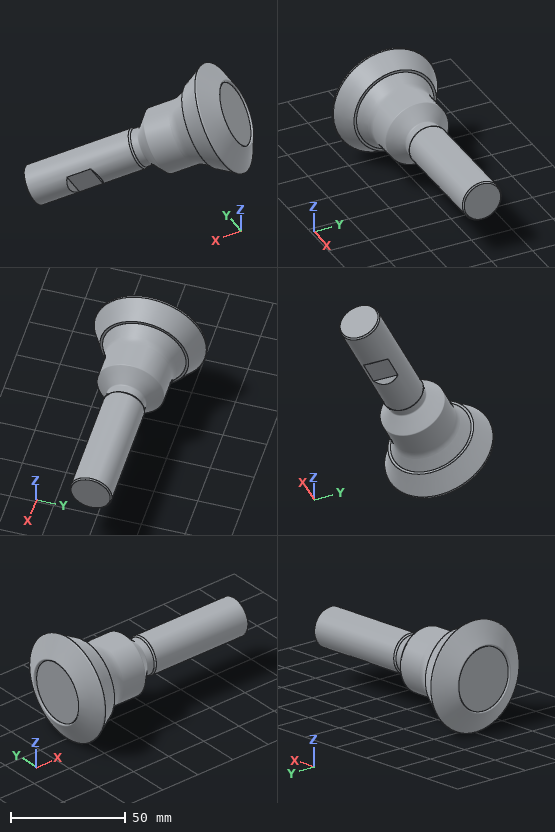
import cadquery as cq
import math


head_length = 16.4
head_diameter = 51.8
rim_front_x = 5.8
rim_back_x = 6.8
rim_mid_x = (rim_front_x + rim_back_x) / 2
rim_edge_radius = head_diameter / 2 - 0.3
lip_outer_radius = 15.9
head_back_radius = 20.2
recess_radius = 14.8
recess_depth = 1.0
front_cone_angle = math.radians(60)

total_length = 101.7
collar_radius = 15.5
flare_angle = math.radians(26)
flare_end_x = 22.1
collar_start_x = 25.5
collar_end_x = 37.8
collar_edge_radius = 0.7
back_cone_angle = math.radians(45)
neck_radius = 9.0
neck_start_x = 44.9
neck_fillet_radius = 1.0
neck_end_x = 48.2
shank_radius = 9.6
shank_chamfer = 0.6
neck_step_length = 0.8

flat_depth = 1.9
flat_start_x = 70.0
flat_length = 11.8


def make_head():
    """Double cone with a rounded rim and a round front recess with a rounded lip."""
    lip_radius = (lip_outer_radius - recess_radius) / (1 + math.cos(front_cone_angle))
    lip_outer_x = lip_radius * (1 - math.sin(front_cone_angle))
    return (
        cq.Workplane("XY")
        .moveTo(recess_depth, 0)
        .lineTo(recess_depth, recess_radius)
        .lineTo(lip_radius, recess_radius)
        .threePointArc((0, recess_radius + lip_radius), (lip_outer_x, lip_outer_radius))
        .lineTo(rim_front_x, rim_edge_radius)
        .threePointArc((rim_mid_x, head_diameter / 2), (rim_back_x, rim_edge_radius))
        .lineTo(head_length, head_back_radius)
        .lineTo(head_length, 0)
        .close()
        .revolve(360, (0, 0, 0), (1, 0, 0))
    )


def make_holder_blank():
    """Turned holder, from the seat behind the head to the chamfered shank end."""
    arc_radius = (collar_start_x - flare_end_x) / math.sin(flare_angle)
    flare_end_radius = collar_radius + arc_radius * (1 - math.cos(flare_angle))
    seat_radius = flare_end_radius + (flare_end_x - head_length) * math.tan(flare_angle)
    arc_mid = (
        collar_start_x - arc_radius * math.sin(flare_angle / 2),
        collar_radius + arc_radius * (1 - math.cos(flare_angle / 2)),
    )
    edge_end = (
        collar_end_x + collar_edge_radius * math.sin(back_cone_angle),
        collar_radius - collar_edge_radius * (1 - math.cos(back_cone_angle)),
    )
    neck_fillet_start = (
        neck_start_x - neck_fillet_radius * math.sin(back_cone_angle),
        neck_radius + neck_fillet_radius * (1 - math.cos(back_cone_angle)),
    )
    return (
        cq.Workplane("XY")
        .moveTo(head_length, 0)
        .lineTo(head_length, seat_radius)
        .lineTo(flare_end_x, flare_end_radius)
        .threePointArc(arc_mid, (collar_start_x, collar_radius))
        .lineTo(collar_end_x, collar_radius)
        .tangentArcPoint(edge_end, relative=False)
        .lineTo(*neck_fillet_start)
        .tangentArcPoint((neck_start_x, neck_radius), relative=False)
        .lineTo(neck_end_x, neck_radius)
        .lineTo(neck_end_x + neck_step_length, shank_radius)
        .lineTo(total_length - shank_chamfer, shank_radius)
        .lineTo(total_length, shank_radius - shank_chamfer)
        .lineTo(total_length, 0)
        .close()
        .revolve(360, (0, 0, 0), (1, 0, 0))
    )


def make_flat_cutter():
    """Trapezoid with 45 degree ends, running across the whole shank in Y."""
    flat_end_x = flat_start_x + flat_length
    return (
        cq.Workplane("XZ")
        .moveTo(flat_start_x, flat_depth - shank_radius)
        .lineTo(flat_end_x, flat_depth - shank_radius)
        .lineTo(flat_end_x + flat_depth, -shank_radius)
        .lineTo(flat_start_x - flat_depth, -shank_radius)
        .close()
        .extrude(shank_radius, both=True)
    )


head = make_head()
holder = make_holder_blank().cut(make_flat_cutter())

result = cq.Compound.makeCompound([head.val(), holder.val()])